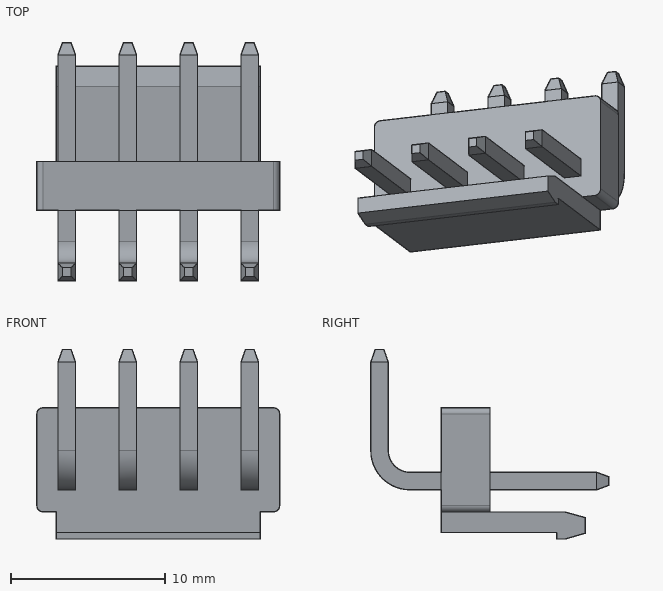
import cadquery as cq


block_width = 15.78
block_depth = 3.19
block_height = 6.77
corner_radius = 0.41

tongue_width = 13.25
tongue_thickness = 1.34
tongue_reach = 9.35
tongue_taper_start = 8.05
tongue_nose_top = -0.36
tongue_nose_bottom = -1.39
hook_back = 7.5
hook_bottom = -1.77

pin_count = 4
pin_pitch = 3.96
pin_thickness = 1.15
pin_axis_z = 2.0
pin_front = 10.89
pin_rear = -4.58
pin_top = 10.55
bend_outer_radius = 2.55
bend_inner_radius = bend_outer_radius - pin_thickness
tip_width = 0.57
front_tip_length = 0.79
top_tip_length = 0.84

pin_positions = [(i - (pin_count - 1) / 2) * pin_pitch for i in range(pin_count)]


def make_block():
    """Block with its four lengthwise edges rounded."""
    return (
        cq.Workplane("XY")
        .box(block_width, block_depth, block_height, centered=(True, False, False))
        .edges("|Y")
        .fillet(corner_radius)
    )


def make_tongue():
    """Flat tongue with a tapered nose and a hook below it."""
    profile = [
        (0, 0),
        (tongue_taper_start, 0),
        (tongue_reach, tongue_nose_top),
        (tongue_reach, tongue_nose_bottom),
        (tongue_taper_start, hook_bottom),
        (hook_back, hook_bottom),
        (hook_back, -tongue_thickness),
        (0, -tongue_thickness),
    ]
    return cq.Workplane("YZ").polyline(profile).close().extrude(tongue_width / 2, both=True)


def make_pin_tip(plane, length):
    """Four-sided tapered tip standing on the given plane."""
    return (
        cq.Workplane(plane)
        .rect(pin_thickness, pin_thickness)
        .workplane(offset=length)
        .rect(tip_width, tip_width)
        .loft(ruled=True)
    )


def make_pin(x):
    """Square pin running forward through the block and bent upward behind it."""
    shank_front = pin_front - front_tip_length
    shank_top = pin_top - top_tip_length
    lower_z = pin_axis_z - pin_thickness / 2
    upper_z = pin_axis_z + pin_thickness / 2
    inner_y = pin_rear + pin_thickness
    bend_y = pin_rear + bend_outer_radius
    bend_z = lower_z + bend_outer_radius

    shank = (
        cq.Workplane("YZ", origin=(x, 0, 0))
        .moveTo(shank_front, lower_z)
        .lineTo(bend_y, lower_z)
        .radiusArc((pin_rear, bend_z), bend_outer_radius)
        .lineTo(pin_rear, shank_top)
        .lineTo(inner_y, shank_top)
        .lineTo(inner_y, bend_z)
        .radiusArc((bend_y, upper_z), -bend_inner_radius)
        .lineTo(shank_front, upper_z)
        .close()
        .extrude(pin_thickness / 2, both=True)
    )
    front_plane = cq.Plane(origin=(x, shank_front, pin_axis_z), xDir=(1, 0, 0), normal=(0, 1, 0))
    top_plane = cq.Plane(
        origin=(x, pin_rear + pin_thickness / 2, shank_top), xDir=(1, 0, 0), normal=(0, 0, 1)
    )
    front_tip = make_pin_tip(front_plane, front_tip_length)
    top_tip = make_pin_tip(top_plane, top_tip_length)
    return shank.union(front_tip).union(top_tip)


def make_pin_holes():
    """Square through holes that fit the pins."""
    return (
        cq.Workplane("XZ")
        .pushPoints([(x, pin_axis_z) for x in pin_positions])
        .rect(pin_thickness, pin_thickness)
        .extrude(-block_depth)
    )


housing = make_block().union(make_tongue()).cut(make_pin_holes())
pins = [make_pin(x) for x in pin_positions]

result = cq.Compound.makeCompound([housing.val(), *[pin.val() for pin in pins]])